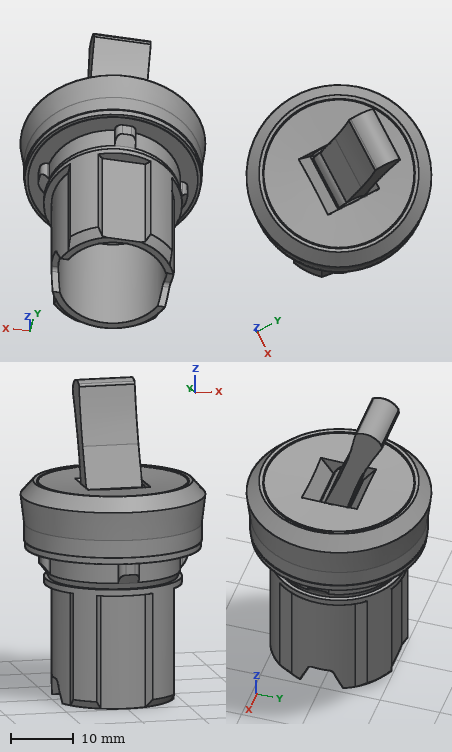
import cadquery as cq
import math

total_height = 50.5
flange_bottom = 18.65
flange_top = 19.65
neck_cone_top = 20.65
lug_full_height = 22.2
bezel_bottom = 24.45
bezel_step = 25.5
bezel_waist = 28.35
bezel_shoulder = 32.95
bezel_top = 35.2

bezel_radius = 14.75
bezel_rim_radius = 12.7
bezel_waist_radius = 14.2
bezel_base_radius = 14.05
bezel_underside_radius = 13.55
bezel_lip_depth = 0.1
neck_radius = 10.75
neck_cone_radius = 10.3
flange_radius = 11.0
barrel_radius = 9.8
bore_radius = 8.7

plate_radius = 11.95
plate_drop = 0.1
dish_depth = 0.7
plate_gap_width = 0.15
plate_gap_depth = 0.15

lug_count = 4
lug_radius = 11.95
lug_width = 3.35
lug_corner_radius = 1.0

rib_side_x = 8.25
rib_chamfer_height = 1.35
front_channel_left = -4.05
front_channel_right = 2.75
front_channel_floor = 8.9
back_channel_half_width = 3.5
back_channel_floor = 9.4

notch_height = 3.65
notch_bottom_width = 7.15
notch_top_width = 3.85
notch_corner_radius = 0.75

slot_width = 10.1
slot_floor_z = 32.0
slot_floor_half_length = 2.5
slot_wall_angle = 53.0

lever_width = 9.15
lever_hub_radius = 2.25
trunnion_radius = 2.1

front_root = (-1.0, 34.0)
front_bend = (1.6, 40.6)
front_curve_mid = (3.05, 44.95)
front_corner_start = (4.15, 49.7)
front_corner_mid = (4.2, 50.05)
front_corner_end = (4.45, 50.2)
tip_crest = (5.65, total_height)
back_corner_top = (8.55, 48.75)
back_corner_bottom = (8.6, 48.15)
back_curve_mid = (6.0, 43.15)
back_curve_end = (3.15, bezel_top)


def block(x_min, x_max, y_min, y_max, z_min, z_max):
    size = (x_max - x_min, y_max - y_min, z_max - z_min)
    return cq.Workplane("XY").box(*size, centered=False).translate((x_min, y_min, z_min))


def prism_along_x(sketch_yz, width):
    return sketch_yz.close().extrude(width / 2, both=True)


def turned_body():
    """Bezel, dished plate, neck and flange as one revolved profile."""
    plate_z = bezel_top - plate_drop
    gap_z = plate_z - plate_gap_depth
    gap_radius = plate_radius + plate_gap_width
    profile = [
        (0, flange_bottom),
        (flange_radius, flange_bottom),
        (flange_radius, flange_top),
        (neck_cone_radius, flange_top),
        (neck_radius, neck_cone_top),
        (neck_radius, bezel_bottom - bezel_lip_depth),
        (bezel_underside_radius, bezel_bottom - bezel_lip_depth),
        (bezel_underside_radius, bezel_bottom),
        (bezel_base_radius, bezel_bottom),
        (bezel_base_radius, bezel_step),
        (bezel_waist_radius, bezel_step),
        (bezel_waist_radius, bezel_waist),
        (bezel_radius, bezel_shoulder),
        (bezel_rim_radius, bezel_top),
        (gap_radius, plate_z),
        (gap_radius, gap_z),
        (plate_radius, gap_z),
        (plate_radius, plate_z),
        (0, plate_z - dish_depth),
    ]
    return cq.Workplane("XZ").polyline(profile).close().revolve(360, (0, 0), (0, 1))


def neck_lugs():
    """Rounded lugs on the neck, all cut to a common cone underneath."""
    bars = cq.Workplane("XY")
    lug_height = bezel_bottom - neck_cone_top
    outer_cylinder = cq.Workplane("XY", origin=(0, 0, neck_cone_top)).circle(lug_radius).extrude(lug_height)
    for i in range(lug_count):
        bar = (
            cq.Workplane("XY", origin=(0, 0, neck_cone_top))
            .rect(lug_radius, lug_width)
            .extrude(lug_height)
            .translate((lug_radius / 2, 0, 0))
            .intersect(outer_cylinder)
            .edges("|Z").edges(">X")
            .fillet(lug_corner_radius)
            .rotate((0, 0, 0), (0, 0, 1), i * 360 / lug_count)
        )
        bars = bars.union(bar)
    envelope = [
        (0, neck_cone_top),
        (neck_radius, neck_cone_top),
        (lug_radius, lug_full_height),
        (lug_radius, bezel_bottom),
        (0, bezel_bottom),
    ]
    cone = cq.Workplane("XZ").polyline(envelope).close().revolve(360, (0, 0), (0, 1))
    return bars.intersect(cone)


def channel(left, right, floor, facing):
    """Cutter for a channel along the barrel whose side walls open out at 45 degrees."""
    outer_radius = bezel_radius
    flare = outer_radius - floor
    outer = facing * outer_radius
    floor_y = facing * floor
    outline = [(left, floor_y), (right, floor_y), (right + flare, outer), (left - flare, outer)]
    return cq.Workplane("XY").polyline(outline).close().extrude(flange_bottom)


def barrel():
    """Ribbed tube with a tapered notch across its open end."""
    rib_profile = [
        (0, 0),
        (barrel_radius, 0),
        (flange_radius, rib_chamfer_height),
        (flange_radius, flange_bottom),
        (0, flange_bottom),
    ]
    ribs = cq.Workplane("XZ").polyline(rib_profile).close().revolve(360, (0, 0), (0, 1))
    ribs = ribs.intersect(
        block(-rib_side_x, rib_side_x, -flange_radius, flange_radius, 0, flange_bottom)
    )
    ribs = ribs.cut(channel(front_channel_left, front_channel_right, front_channel_floor, -1))

    tube = ribs.union(cq.Workplane("XY").circle(barrel_radius).extrude(flange_bottom))
    tube = tube.cut(channel(-back_channel_half_width, back_channel_half_width, back_channel_floor, 1))
    tube = tube.cut(cq.Workplane("XY").circle(bore_radius).extrude(flange_bottom))

    notch_outline = [
        (-notch_bottom_width / 2, 0),
        (notch_bottom_width / 2, 0),
        (notch_top_width / 2, notch_height),
        (-notch_top_width / 2, notch_height),
    ]
    notch = prism_along_x(cq.Workplane("YZ").polyline(notch_outline), 2 * flange_radius)
    notch = notch.edges("|X and >Z").fillet(notch_corner_radius)
    return tube.cut(notch)


def lever_slot():
    """Cutter for the slot in the top plate; its end walls lean outwards."""
    rise = bezel_top - slot_floor_z
    top_half_length = slot_floor_half_length + rise / math.tan(math.radians(slot_wall_angle))
    outline = [
        (-slot_floor_half_length, slot_floor_z),
        (slot_floor_half_length, slot_floor_z),
        (top_half_length, bezel_top),
        (-top_half_length, bezel_top),
    ]
    return prism_along_x(cq.Workplane("YZ").polyline(outline), slot_width)


def lever():
    """Tilted paddle on a round hub, carried by a trunnion across the slot."""
    paddle = prism_along_x(
        cq.Workplane("YZ")
        .moveTo(*front_root)
        .lineTo(*front_bend)
        .threePointArc(front_curve_mid, front_corner_start)
        .threePointArc(front_corner_mid, front_corner_end)
        .threePointArc(tip_crest, back_corner_top)
        .lineTo(*back_corner_bottom)
        .threePointArc(back_curve_mid, back_curve_end)
        .lineTo(lever_hub_radius, slot_floor_z)
        .lineTo(0, slot_floor_z),
        lever_width,
    )
    pivot = cq.Workplane("YZ", origin=(0, 0, slot_floor_z))
    hub = pivot.circle(lever_hub_radius).extrude(lever_width / 2, both=True)
    trunnion = pivot.circle(trunnion_radius).extrude(slot_width / 2, both=True)
    return paddle.union(hub).union(trunnion)


result = turned_body().union(neck_lugs()).union(barrel()).cut(lever_slot()).union(lever())